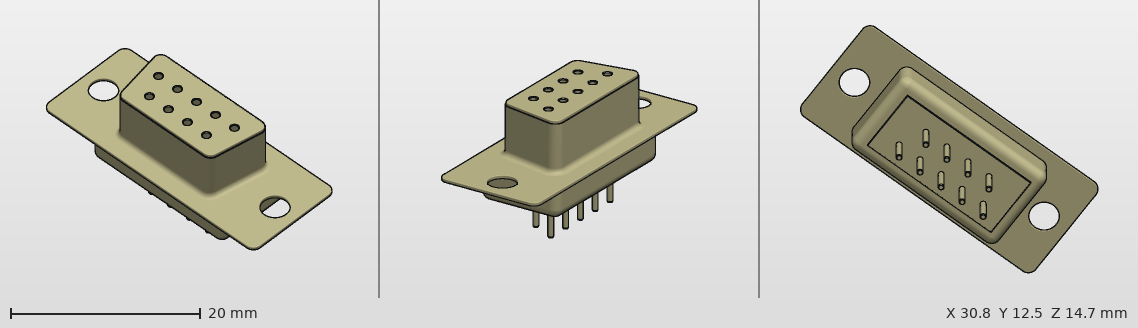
import cadquery as cq
import math

flange_length = 30.8
flange_width = 12.5
flange_thickness = 0.4
flange_corner_radius = 1.0
flange_edge_radius = 0.1

mount_hole_diameter = 3.2
mount_hole_spacing = 25.0

shell_length = 15.92
shell_width = 7.9
shell_height = 6.1
shell_side_angle = 10.0
shell_corner_radius = 1.02
shell_root_radius = 0.62

insert_height = 0.35
insert_inset = 0.1
insert_rim_radius = 0.1

body_length = 19.15
body_width = 9.92
body_depth = 3.97
body_corner_radius = 1.0
body_bottom_radius = 0.95
pad_length = 16.25
pad_width = 6.95
pad_depth = 0.35

row_counts = (5, 4)
contact_pitch = 2.77
row_spacing = 2.83
socket_row_offset = -0.3
socket_diameter = 0.85
socket_depth = shell_height
socket_chamfer = 0.1
pin_diameter = 0.65
pin_length = 3.88
pin_tip_length = 0.15
pin_tip_inset = 0.077


def contact_points(row_offset):
    """Centres of both staggered contact rows, shifted along Y by row_offset."""
    points = []
    for count, side in zip(row_counts, (1, -1)):
        y = side * row_spacing / 2 + row_offset
        for i in range(count):
            points.append(((i - (count - 1) / 2) * contact_pitch, y))
    return points


def rounded_block(length, width, height, corner_radius):
    """Block standing on Z = 0 with rounded upright edges."""
    block = cq.Workplane("XY").box(length, width, height, centered=(True, True, False))
    return block.edges("|Z").fillet(corner_radius)


def make_flange():
    """Thin plate with two mounting holes and all its rims rounded over."""
    plate = rounded_block(flange_length, flange_width, flange_thickness, flange_corner_radius)
    plate = plate.faces(">Z").workplane()
    plate = plate.rarray(mount_hole_spacing, 0.3, 2, 1).hole(mount_hole_diameter)
    return plate.faces("<Z or >Z").edges().fillet(flange_edge_radius)


def make_shell():
    """D-shaped sleeve with a slightly smaller insert proud of its rim.

    The rounded +Y corners of the sleeve span the full shell length.
    """
    angle = math.radians(shell_side_angle)
    corner_loss = shell_corner_radius * (math.tan(math.pi / 4 + angle / 2) - 1)
    wide_half = shell_length / 2 + corner_loss
    narrow_half = wide_half - shell_width * math.tan(angle)
    half_width = shell_width / 2
    outline = [
        (-wide_half, half_width),
        (wide_half, half_width),
        (narrow_half, -half_width),
        (-narrow_half, -half_width),
    ]
    sleeve_height = shell_height - insert_height
    sleeve = cq.Workplane("XY").workplane(offset=flange_thickness)
    sleeve = sleeve.polyline(outline).close().extrude(sleeve_height)
    sleeve = sleeve.edges("|Z").fillet(shell_corner_radius)
    insert = sleeve.faces(">Z").wires().toPending().offset2D(-insert_inset)
    insert = insert.extrude(insert_height, combine=False)
    insert = insert.faces(">Z").edges().fillet(insert_rim_radius)
    return sleeve.union(insert)


def round_shell_root(connector):
    """Concave fillet where the shell rises from the flange."""
    margin = flange_thickness / 2
    reach_x = shell_length / 2 + margin
    reach_y = shell_width / 2 + margin
    root = cq.selectors.BoxSelector(
        (-reach_x, -reach_y, flange_thickness - margin),
        (reach_x, reach_y, flange_thickness + margin),
    )
    return connector.edges(root).fillet(shell_root_radius)


def make_rear():
    """Rounded rear body and its shallow rear pad."""
    body = rounded_block(body_length, body_width, body_depth, body_corner_radius)
    body = body.translate((0, 0, -body_depth))
    body = body.faces("<Z").edges().fillet(body_bottom_radius)
    pad = cq.Workplane("XY").workplane(offset=-body_depth).rect(pad_length, pad_width).extrude(-pad_depth)
    return body.union(pad)


def make_pins():
    """Rear pins with chamfered tips."""
    pins = cq.Workplane("XY").workplane(offset=-body_depth - pad_depth)
    pins = pins.pushPoints(contact_points(0)).circle(pin_diameter / 2).extrude(-pin_length)
    return pins.faces("<Z").edges().chamfer(pin_tip_length, pin_tip_inset)


def make_sockets():
    """Cutters for the contact sockets in the insert face, with chamfered mouths."""
    face_z = flange_thickness + shell_height
    centres = cq.Workplane("XY").workplane(offset=face_z).pushPoints(contact_points(socket_row_offset))
    bores = centres.circle(socket_diameter / 2).extrude(-socket_depth)
    mouths = centres.circle(socket_diameter / 2 + socket_chamfer).extrude(-socket_chamfer, taper=45)
    return bores.union(mouths)


connector = round_shell_root(make_flange().union(make_shell()))
result = connector.cut(make_sockets()).union(make_rear()).union(make_pins())